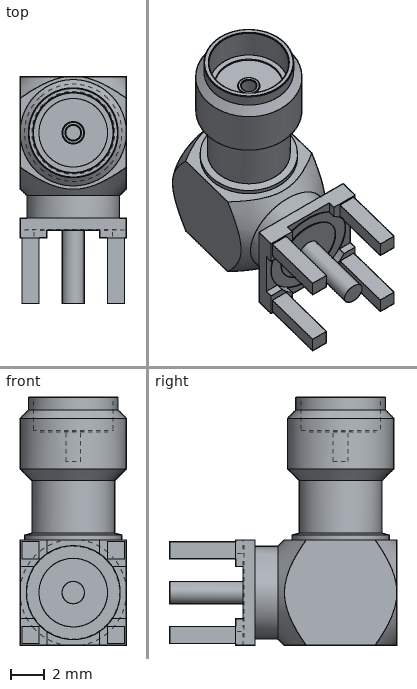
import cadquery as cq


block_width = 6.33
block_height = 6.29
block_back_y = 3.35
block_length = 6.69
plate_distance = 8.44
overall_length = 13.53
axis_z = block_height / 2
block_front_y = block_back_y - block_length
round_radius = block_width / 2
cone_growth = 1.48
barrel_radius = 2.77
overlap = 0.15

plate_back_y = block_back_y - plate_distance
plate_thickness = 0.71
pad_size = 1.6
pad_height = 0.46
leg_size = 1.04
leg_inset = 0.1
board_end_y = block_back_y - overall_length
plate_front_y = plate_back_y - plate_thickness
pad_front_y = plate_front_y - pad_height

mouth_radius = 2.8
mouth_depth = 0.05
insulator_radius = 2.04
insulator_step = 0.06
pin_radius = 0.67

collar_radius = 2.9
collar_rim_z = 6.57
collar_top_z = 6.69
neck_radius = 2.47
nut_bottom_z = 9.81
nut_radius = 3.17
nut_lower_rim_z = 10.51
nut_upper_rim_z = 13.53
lip_radius = 2.68
lip_chamfer = 0.05
lip_bottom_z = nut_upper_rim_z + nut_radius - lip_radius
top_z = 14.8

bore_radius = 2.37
bore_depth = 2.0
well_radius = 2.04
well_depth = 0.1
contact_rise = 0.05
contact_bore_radius = 0.45
contact_bore_depth = 1.78
contact_chamfer = 0.05
well_floor_z = top_z - bore_depth - well_depth


def disc_along_y(radius, start_y, end_y):
    """Cylinder on the barrel axis running from start_y toward -Y."""
    plane = cq.Workplane("XZ", origin=(0, start_y, axis_z))
    return plane.circle(radius).extrude(start_y - end_y)


def box_along_y(size_x, size_z, center_x, center_z, start_y, end_y):
    """Rectangular bar running from start_y toward -Y."""
    plane = cq.Workplane("XZ", origin=(center_x, start_y, center_z))
    return plane.rect(size_x, size_z).extrude(start_y - end_y)


def make_block():
    """Square block with its end corners turned down to cones about the barrel axis."""
    big_radius = round_radius + cone_growth
    cone_tip_y = block_front_y - (round_radius - barrel_radius)
    turned = (
        cq.Workplane("XY")
        .polyline([
            (0, block_back_y),
            (round_radius, block_back_y),
            (big_radius, block_back_y - cone_growth),
            (big_radius, block_front_y + cone_growth),
            (barrel_radius, cone_tip_y),
            (0, cone_tip_y),
        ])
        .close()
        .revolve(360, (0, 0, 0), (0, 1, 0))
        .translate((0, 0, axis_z))
    )
    square = box_along_y(block_width, block_height, 0, axis_z, block_back_y, plate_back_y)
    barrel = disc_along_y(barrel_radius, block_front_y, plate_back_y - overlap)
    return turned.intersect(square).union(barrel)


def make_mount():
    """Plate with four corner pads and legs, the barrel mouth and the contact pin."""
    mount = box_along_y(block_width, block_height, 0, axis_z, plate_back_y, plate_front_y)
    corners = [(side_x, side_z) for side_x in (-1, 1) for side_z in (-1, 1)]

    for side_x, side_z in corners:
        pad_x = side_x * (block_width - pad_size) / 2
        pad_z = axis_z + side_z * (block_height - pad_size) / 2
        pad = box_along_y(pad_size, pad_size, pad_x, pad_z, plate_front_y + overlap, pad_front_y)
        mount = mount.union(pad)

    mouth_floor_y = plate_front_y + mouth_depth
    mount = mount.cut(disc_along_y(mouth_radius, mouth_floor_y, pad_front_y))

    for side_x, side_z in corners:
        leg_x = side_x * ((block_width - leg_size) / 2 - leg_inset)
        leg_z = axis_z + side_z * ((block_height - leg_size) / 2 - leg_inset)
        leg = box_along_y(leg_size, leg_size, leg_x, leg_z, pad_front_y + overlap, board_end_y)
        mount = mount.union(leg)

    insulator = disc_along_y(insulator_radius, plate_back_y, mouth_floor_y - insulator_step)
    pin = disc_along_y(pin_radius, plate_back_y, board_end_y)
    return mount.union(insulator).union(pin)


def make_socket():
    """Collar, neck and hollow nut with a hollow center contact, revolved about the mating axis."""
    bore_floor_z = top_z - bore_depth
    contact_rim_z = well_floor_z + contact_rise
    contact_floor_z = contact_rim_z - contact_bore_depth
    return (
        cq.Workplane("XZ")
        .polyline([
            (0, block_height - overlap),
            (collar_radius, block_height - overlap),
            (collar_radius, collar_rim_z),
            (neck_radius, collar_top_z),
            (neck_radius, nut_bottom_z),
            (nut_radius, nut_lower_rim_z),
            (nut_radius, nut_upper_rim_z),
            (lip_radius, lip_bottom_z),
            (lip_radius, top_z - lip_chamfer),
            (lip_radius - lip_chamfer, top_z),
            (bore_radius + lip_chamfer, top_z),
            (bore_radius, top_z - lip_chamfer),
            (bore_radius, bore_floor_z),
            (well_radius, bore_floor_z),
            (well_radius, well_floor_z),
            (pin_radius, well_floor_z),
            (pin_radius - contact_chamfer, contact_rim_z),
            (contact_bore_radius + contact_chamfer, contact_rim_z),
            (contact_bore_radius, contact_rim_z - contact_chamfer),
            (contact_bore_radius, contact_floor_z),
            (0, contact_floor_z),
        ])
        .close()
        .revolve(360, (0, 0, 0), (0, 1, 0))
    )


result = make_block().union(make_mount()).union(make_socket())